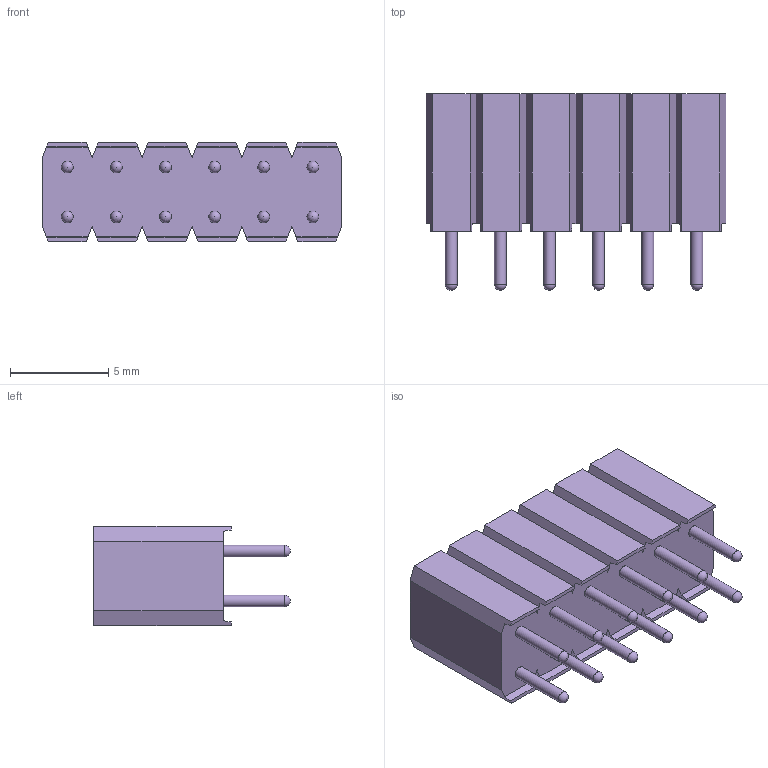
import cadquery as cq
import math

columns = 6
cell_pitch = 2.54
pin_pitch = 2.5
row_spacing = 2.54

housing_length = columns * cell_pitch
housing_height = 5.08
body_depth = 6.6
groove_depth = 0.78
groove_half_width = 0.31

lip_length = 0.4
lip_tip_thickness = 0.2
lip_root_thickness = 0.26

pin_diameter = 0.6
pin_projection = 3.4
pin_root_depth = 0.6

half_length = housing_length / 2
half_height = housing_height / 2
pin_radius = pin_diameter / 2


def make_block():
    """Side profile (Y, Z) with both lips, extruded along X; the pin face is at Y = 0."""
    tip_z = half_height - lip_tip_thickness
    root_z = half_height - lip_root_thickness
    return (
        cq.Workplane("YZ")
        .moveTo(body_depth, half_height)
        .lineTo(-lip_length, half_height)
        .lineTo(-lip_length, tip_z)
        .lineTo(0, root_z)
        .lineTo(0, -root_z)
        .lineTo(-lip_length, -tip_z)
        .lineTo(-lip_length, -half_height)
        .lineTo(body_depth, -half_height)
        .close()
        .extrude(half_length, both=True)
    )


def make_groove(x, side):
    """V-groove along the full depth; side is +1 for the top face, -1 for the bottom."""
    surface_z = side * half_height
    return (
        cq.Workplane("XZ", origin=(0, body_depth, 0))
        .moveTo(x - groove_half_width, surface_z)
        .lineTo(x + groove_half_width, surface_z)
        .lineTo(x, surface_z - side * groove_depth)
        .close()
        .extrude(body_depth + lip_length)
    )


def make_pin(x, z):
    """Round pin with a hemispherical tip, revolved about Y and rooted inside the housing."""
    tip_y = -pin_projection
    tip_centre_y = tip_y + pin_radius
    mid_arc = pin_radius * math.sqrt(0.5)
    return (
        cq.Workplane("XY", origin=(x, 0, z))
        .moveTo(0, pin_root_depth)
        .lineTo(pin_radius, pin_root_depth)
        .lineTo(pin_radius, tip_centre_y)
        .threePointArc((mid_arc, tip_centre_y - mid_arc), (0, tip_y))
        .close()
        .revolve(360, (0, 0, 0), (0, 1, 0))
    )


result = make_block()

for boundary in range(columns + 1):
    groove_x = boundary * cell_pitch - half_length
    for side in (1, -1):
        result = result.cut(make_groove(groove_x, side))

first_pin_x = cell_pitch / 2 - half_length
for column in range(columns):
    pin_x = first_pin_x + column * pin_pitch
    for pin_z in (row_spacing / 2, -row_spacing / 2):
        result = result.union(make_pin(pin_x, pin_z))